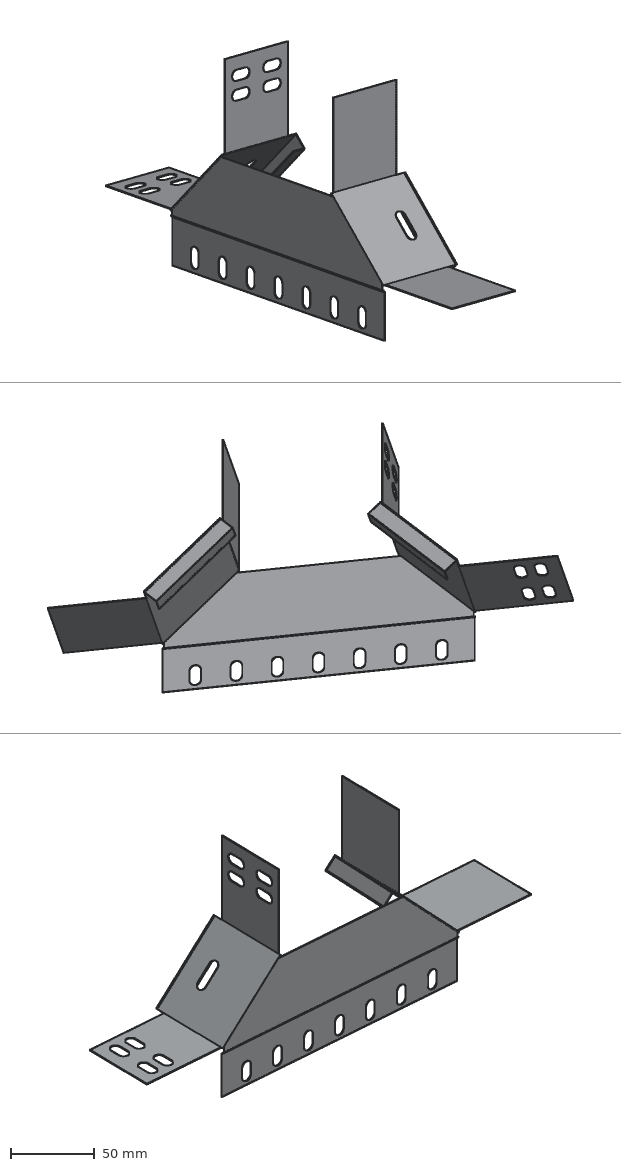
import cadquery as cq
import math

sheet = 0.7
depth = 59.4
length = 310.13
height = 141.6
front_y = -depth / 2
back_y = depth / 2
flange_setback = 1.2

tab_length = 59.7
tab_width = 50.5
tab_front_y = front_y + flange_setback + sheet
tab_mid_y = tab_front_y + tab_width / 2
tab_z = 35.45

wall_angle = 45.0

bend_low_x = length / 2 - tab_length
bend_high_z = height - tab_length
wall_rise = bend_high_z - tab_z
bend_high_x = bend_low_x - wall_rise / math.tan(math.radians(wall_angle))
wall_length = wall_rise / math.sin(math.radians(wall_angle))
wall_mid = (-(bend_low_x + bend_high_x) / 2, 0, (tab_z + bend_high_z) / 2)

plate_top_z = 80.0
jog_top_z = 31.9
jog_bottom_z = 30.5
flange_half = 95.0
plate_half = 94.2

lip_height = 11.1
lip_return = 8.9

slot_width = 7.0
slot_length = 14.0
flange_slot_count = 7
slot_pitch = 25.0
flange_slot_z = 9.8
tab_slot_row_pitch = 12.5
tab_slot_edge = 12.3
wall_slot_length = 20.0
wall_slot_y = 9.7


def block(x_range, y_range, z_range):
    """Box between two limits on each axis."""
    limits = (x_range, y_range, z_range)
    sizes = [high - low for low, high in limits]
    return cq.Workplane("XY").box(*sizes, centered=False).translate([low for low, high in limits])


def front_plate():
    """Trapezoidal plate joining the two walls."""
    slant_reach = bend_low_x + tab_z
    outline = [
        (plate_half, jog_top_z),
        (plate_half, slant_reach - plate_half),
        (slant_reach - plate_top_z, plate_top_z),
    ]
    mirrored = [(-x, z) for x, z in reversed(outline)]
    return cq.Workplane("XZ", origin=(0, front_y, 0)).polyline(outline + mirrored).close().extrude(-sheet)


def front_flange():
    """Slotted flange set back behind the front plate, with its sloping jog."""
    outer_y = front_y + flange_setback
    inner_y = outer_y + sheet
    section = [
        (front_y, jog_top_z),
        (outer_y, jog_bottom_z),
        (outer_y, 0),
        (inner_y, 0),
        (inner_y, jog_bottom_z),
        (front_y + sheet, jog_top_z),
    ]
    flange = cq.Workplane("YZ").polyline(section).close().extrude(flange_half, both=True)
    slots = (
        cq.Workplane("XZ", origin=(0, 0, flange_slot_z))
        .rarray(slot_pitch, 1, flange_slot_count, 1)
        .slot2D(slot_length, slot_width, 90)
        .extrude(depth / 2)
    )
    return flange.cut(slots)


def tab_strip():
    """Left horizontal tab, sloping strip and vertical tab, bent from one sheet."""
    miter = sheet * math.tan(math.radians(wall_angle / 2))
    profile = [
        (-length / 2, tab_z),
        (-bend_low_x, tab_z),
        (-bend_high_x, bend_high_z),
        (-bend_high_x, height),
        (-bend_high_x + sheet, height),
        (-bend_high_x + sheet, bend_high_z - miter),
        (-bend_low_x + miter, tab_z - sheet),
        (-length / 2, tab_z - sheet),
    ]
    return cq.Workplane("XZ", origin=(0, tab_front_y, 0)).polyline(profile).close().extrude(-tab_width)


def wall_channel():
    """Left sloping wall with a lip turned in at the back edge and returned forward."""
    inner_y = back_y - sheet
    half = wall_length / 2
    along = (-half, half)
    wall = block(along, (front_y, back_y), (-sheet, 0))
    web = block(along, (inner_y, back_y), (-lip_height, 0))
    lip = block(along, (back_y - lip_return, back_y), (-lip_height, sheet - lip_height))
    channel = wall.union(web).union(lip)
    return on_slope(channel)


def on_slope(body):
    """Tilt a flat body to the wall slope and move it to the middle of the left wall."""
    return body.rotate((0, 0, 0), (0, 1, 0), -wall_angle).translate(wall_mid)


def wall_slot():
    """Cutter for the slot along the middle of the left wall."""
    cutter = (
        cq.Workplane("XY", origin=(0, wall_slot_y, 0))
        .slot2D(wall_slot_length, slot_width)
        .extrude(2 * sheet, both=True)
    )
    return on_slope(cutter)


def tab_slots():
    """Cutters for the four slots in each of the two left tabs."""
    rows_mid = tab_slot_edge + tab_slot_row_pitch / 2
    horizontal = (
        cq.Workplane("XY", origin=(-length / 2 + rows_mid, tab_mid_y, tab_z))
        .rarray(tab_slot_row_pitch, slot_pitch, 2, 2)
        .slot2D(slot_length, slot_width, 90)
        .extrude(2 * sheet, both=True)
    )
    vertical = (
        cq.Workplane("YZ", origin=(-bend_high_x, tab_mid_y, height - rows_mid))
        .rarray(slot_pitch, tab_slot_row_pitch, 2, 2)
        .slot2D(slot_length, slot_width)
        .extrude(2 * sheet, both=True)
    )
    return horizontal.union(vertical)


left_side = wall_channel().union(tab_strip()).cut(wall_slot())
right_side = left_side.mirror("YZ")
slotted_left_side = left_side.cut(tab_slots())

result = front_plate().union(front_flange()).union(slotted_left_side).union(right_side)